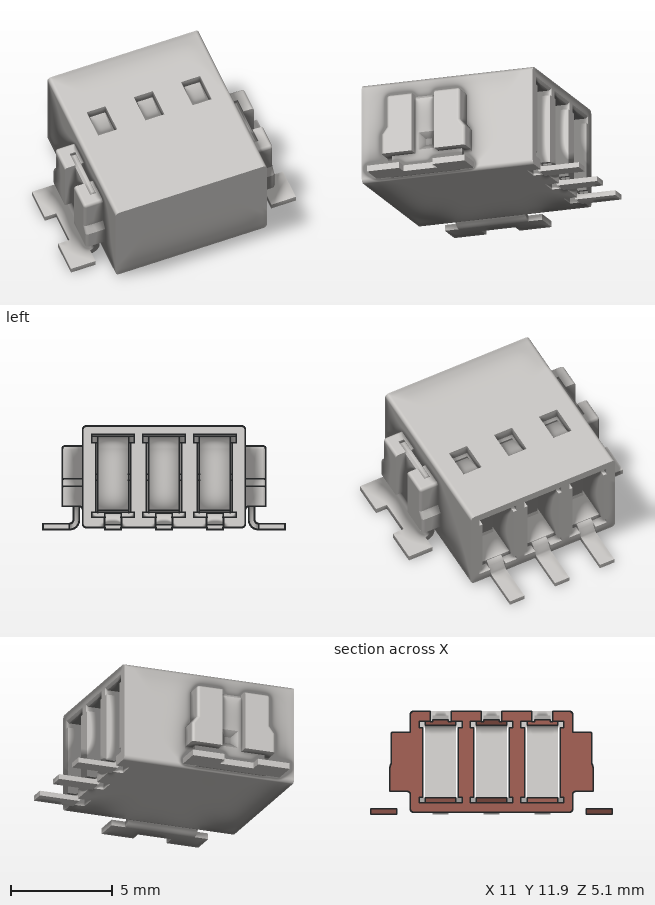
import cadquery as cq
import math


HOUSING_LENGTH = 9.0
HOUSING_WIDTH = 8.0
HOUSING_BOTTOM = 0.1
HOUSING_TOP = 5.1
HOUSING_ROUND = 0.2

POLE_PITCH = 2.5
POLE_CENTERS = [-POLE_PITCH, 0.0, POLE_PITCH]

CONTACT_THICKNESS = 0.25
PLATE_BOTTOM = 0.6
PLATE_TOP = PLATE_BOTTOM + CONTACT_THICKNESS
PLATE_FRONT = 0.45
PLATE_TAPER_START = 1.2
PLATE_TAPER_END = 1.6
TAIL_LENGTH = 2.0
TAIL_WIDTH = 0.8
TAIL_BEND_X = -0.12
TAIL_RISE_ANGLE = math.radians(54)
TAIL_ROUND = 0.5
TAIL_FILLET = 0.15
TAIL_CLEARANCE = 0.03

CAVITY_DEPTH = 4.0
CAVITY_WIDTH = 1.72
SLOT_WIDTH = 2.08
CEILING = 4.58
UPPER_SLOT_BOTTOM = 4.28
MOUTH_HEIGHT = 0.1
MOUTH_LENGTH = 0.13
LEDGE_TOP = 2.72
LEDGE_DEPTH = 0.28

WINDOW_FRONT = 2.67
WINDOW_BACK = 4.2
WINDOW_WIDTH = 1.0

SPRING_FRONT = 2.0
SPRING_WIDTH = 1.52
SPRING_THICKNESS = 0.2
SPRING_BEND = 0.6
SPRING_FOOT = 0.1
TAB_WIDTH = 0.8
TAB_APEX_X = 2.85
TAB_APEX_Z = 4.88
TAB_FRONT_ANGLE = math.radians(60)
TAB_RAMP_ANGLE = math.radians(18)
TAB_END = 3.96
WING_SETBACK = 0.4
WING_LENGTH = 0.4
WING_FRONT = SPRING_FRONT + WING_SETBACK
WING_BACK = WING_FRONT + WING_LENGTH
WING_SWEEP = math.radians(45)

HOLDER_X = 5.4
HOLDER_UPPER_HALF = 1.93
HOLDER_LOWER_HALF = 2.2
HOLDER_TOP = 4.12
HOLDER_NECK_TOP = 2.5
HOLDER_NECK_BOTTOM = 2.14
HOLDER_BOTTOM = 1.14
HOLDER_DEPTH = 1.0
HOLDER_ROUND = 0.15
HOLDER_GAP = 1.2

ANCHOR_THICKNESS = 0.3
ANCHOR_OFFSET = 0.15
ANCHOR_BLADE_WIDTH = 2.72
ANCHOR_LEG_WIDTH = 3.68
ANCHOR_TOP = 4.08
ANCHOR_BEVEL = 0.13
ANCHOR_BEND = 0.2
FOOT_WIDTH = 5.12
FOOT_END = 5.95
FOOT_NOTCH_WIDTH = 1.76
FOOT_NOTCH_DEPTH = 0.6
DIMPLE_Z = 1.76
DIMPLE_MOUTH = 0.88
DIMPLE_FLOOR = 0.32
DIMPLE_DEPTH = (DIMPLE_MOUTH - DIMPLE_FLOOR) / 2

SIDE_WALL = HOUSING_WIDTH / 2
ANCHOR_INNER = SIDE_WALL + ANCHOR_OFFSET
ANCHOR_OUTER = ANCHOR_INNER + ANCHOR_THICKNESS
BEND_END = ANCHOR_OUTER + ANCHOR_BEND


def box(x_range, y_range, z_range):
    """Axis-aligned box from its limits."""
    sizes = [high - low for low, high in (x_range, y_range, z_range)]
    corner = (x_range[0], y_range[0], z_range[0])
    return cq.Workplane("XY").box(*sizes, centered=False).translate(corner)


def centered_box(x_range, center_y, width, z_range):
    """Box that spans a width in Y about a center."""
    return box(x_range, (center_y - width / 2, center_y + width / 2), z_range)


def across_y(profile, center_y, width):
    """Extrude an XZ profile over a width in Y about a center."""
    return profile.extrude(width / 2, both=True).translate((0, center_y, 0))


def mirror_side(body):
    """The same shape on the opposite (+Y) side."""
    return body.mirror("XZ")


def make_contact(center_y):
    slope = math.tan(TAIL_RISE_ANGLE)
    half_turn = math.tan(TAIL_RISE_ANGLE / 2)
    corner_shift = CONTACT_THICKNESS * half_turn
    top_corner_x = TAIL_BEND_X + TAIL_FILLET * half_turn
    rise_length = PLATE_BOTTOM / slope
    tail_profile = (
        cq.Workplane("XZ")
        .moveTo(-TAIL_LENGTH, 0)
        .lineTo(top_corner_x + corner_shift, 0)
        .lineTo(top_corner_x + corner_shift + rise_length, PLATE_BOTTOM)
        .lineTo(PLATE_TAPER_START, PLATE_BOTTOM)
        .lineTo(PLATE_TAPER_START, PLATE_TOP)
        .lineTo(top_corner_x + rise_length, PLATE_TOP)
        .lineTo(top_corner_x, CONTACT_THICKNESS)
        .lineTo(-TAIL_LENGTH, CONTACT_THICKNESS)
        .close()
    )
    tail = across_y(tail_profile, 0, TAIL_WIDTH)
    outer_bend = cq.selectors.NearestToPointSelector((top_corner_x + rise_length, 0, PLATE_TOP))
    inner_bend = cq.selectors.NearestToPointSelector((top_corner_x, 0, CONTACT_THICKNESS))
    tail = tail.edges(outer_bend).fillet(TAIL_ROUND)
    tail = tail.edges(inner_bend).fillet(TAIL_FILLET)
    wide = SLOT_WIDTH / 2
    narrow = SPRING_WIDTH / 2
    plate = (
        cq.Workplane("XY", origin=(0, 0, PLATE_BOTTOM))
        .moveTo(PLATE_FRONT, -wide)
        .lineTo(PLATE_TAPER_START, -wide)
        .lineTo(PLATE_TAPER_END, -narrow)
        .lineTo(CAVITY_DEPTH, -narrow)
        .lineTo(CAVITY_DEPTH, narrow)
        .lineTo(PLATE_TAPER_END, narrow)
        .lineTo(PLATE_TAPER_START, wide)
        .lineTo(PLATE_FRONT, wide)
        .close()
        .extrude(CONTACT_THICKNESS)
    )
    return tail.union(plate).translate((0, center_y, 0))


def spring_sheet():
    """Upright sheet with a flared foot, bent back to run under the ceiling."""
    bend_x = SPRING_FRONT + SPRING_BEND
    bend_z = CEILING - SPRING_BEND
    inner_bend = SPRING_BEND - SPRING_THICKNESS
    diagonal = math.sqrt(0.5)
    profile = (
        cq.Workplane("XZ")
        .moveTo(SPRING_FRONT - SPRING_FOOT, PLATE_TOP)
        .lineTo(SPRING_FRONT, PLATE_TOP + SPRING_FOOT)
        .lineTo(SPRING_FRONT, bend_z)
        .threePointArc(
            (bend_x - SPRING_BEND * diagonal, bend_z + SPRING_BEND * diagonal),
            (bend_x, CEILING),
        )
        .lineTo(CAVITY_DEPTH, CEILING)
        .lineTo(CAVITY_DEPTH, CEILING - SPRING_THICKNESS)
        .lineTo(bend_x, CEILING - SPRING_THICKNESS)
        .threePointArc(
            (bend_x - inner_bend * diagonal, bend_z + inner_bend * diagonal),
            (bend_x - inner_bend, bend_z),
        )
        .lineTo(SPRING_FRONT + SPRING_THICKNESS, PLATE_TOP)
        .close()
    )
    return across_y(profile, 0, SPRING_WIDTH)


def spring_tab():
    """Release tab: a steep front and a long ramp falling away from the apex."""
    start_x = TAB_APEX_X - (TAB_APEX_Z - CEILING) / math.tan(TAB_FRONT_ANGLE)
    end_z = TAB_APEX_Z - (TAB_END - TAB_APEX_X) * math.tan(TAB_RAMP_ANGLE)
    profile = (
        cq.Workplane("XZ")
        .moveTo(start_x, CEILING - SPRING_THICKNESS)
        .lineTo(start_x, CEILING)
        .lineTo(TAB_APEX_X, TAB_APEX_Z)
        .lineTo(TAB_END, end_z)
        .lineTo(TAB_END, CEILING - SPRING_THICKNESS)
        .close()
    )
    opening = centered_box((start_x, CAVITY_DEPTH), 0, TAB_WIDTH, (CEILING - SPRING_THICKNESS, CEILING))
    return across_y(profile, 0, TAB_WIDTH), opening


def spring_wing():
    """Side wing in the upper slot, its front sweeping back in a concave curve."""
    inner_y = SPRING_WIDTH / 2
    outer_y = SLOT_WIDTH / 2
    radius = (outer_y - inner_y) / math.sin(WING_SWEEP)
    center_x = WING_FRONT - radius * math.cos(WING_SWEEP)
    mid_angle = WING_SWEEP / 2
    return (
        cq.Workplane("XY", origin=(0, 0, UPPER_SLOT_BOTTOM))
        .moveTo(WING_FRONT, inner_y)
        .threePointArc(
            (center_x + radius * math.cos(mid_angle), outer_y - radius * math.sin(mid_angle)),
            (center_x + radius, outer_y),
        )
        .lineTo(WING_BACK, outer_y)
        .lineTo(WING_BACK, inner_y)
        .close()
        .extrude(CEILING - UPPER_SLOT_BOTTOM)
    )


def make_spring(center_y):
    tab, opening = spring_tab()
    wing = spring_wing()
    spring = spring_sheet().cut(opening).union(tab).union(wing).union(mirror_side(wing))
    return spring.translate((0, center_y, 0))


def anchor_foot():
    """Sheet bent from the upright leg out to the notched foot (on the -Y side)."""
    outer_bend = ANCHOR_BEND + ANCHOR_THICKNESS
    diagonal = math.sqrt(0.5)
    leg_profile = (
        cq.Workplane("YZ", origin=(HOLDER_X, 0, 0))
        .moveTo(-ANCHOR_INNER, HOLDER_BOTTOM)
        .lineTo(-ANCHOR_INNER, outer_bend)
        .threePointArc(
            (-BEND_END + outer_bend * diagonal, outer_bend - outer_bend * diagonal),
            (-BEND_END, 0),
        )
        .lineTo(-BEND_END, ANCHOR_THICKNESS)
        .threePointArc(
            (-BEND_END + ANCHOR_BEND * diagonal, outer_bend - ANCHOR_BEND * diagonal),
            (-ANCHOR_OUTER, outer_bend),
        )
        .lineTo(-ANCHOR_OUTER, HOLDER_BOTTOM)
        .close()
    )
    leg = leg_profile.extrude(ANCHOR_LEG_WIDTH / 2, both=True)
    half_foot = FOOT_WIDTH / 2
    half_notch = FOOT_NOTCH_WIDTH / 2
    thickness = (0, ANCHOR_THICKNESS)
    foot = box((HOLDER_X - half_foot, HOLDER_X + half_foot), (-FOOT_END, -BEND_END), thickness)
    notch = box(
        (HOLDER_X - half_notch, HOLDER_X + half_notch),
        (-FOOT_END, -FOOT_END + FOOT_NOTCH_DEPTH),
        thickness,
    )
    return leg.union(foot.cut(notch))


def square_taper(wall_y, mouth, depth):
    """Square pyramid stub with 45 degree sides, growing from a plane in Y toward the housing."""
    plane = cq.Plane(origin=(HOLDER_X, wall_y, DIMPLE_Z), xDir=(1, 0, 0), normal=(0, 1, 0))
    return cq.Workplane(plane).rect(mouth, mouth).extrude(depth, taper=45)


def make_anchor():
    half_blade = ANCHOR_BLADE_WIDTH / 2
    blade = box(
        (HOLDER_X - half_blade, HOLDER_X + half_blade),
        (-ANCHOR_OUTER, -ANCHOR_INNER),
        (HOLDER_BOTTOM, ANCHOR_TOP),
    )
    blade = blade.edges("(>Z and <Y) or (>Z and <X) or (>Z and >X)").chamfer(ANCHOR_BEVEL)
    anchor = blade.union(anchor_foot())
    anchor = anchor.union(square_taper(-ANCHOR_INNER, DIMPLE_MOUTH, ANCHOR_OFFSET))
    return anchor.cut(square_taper(-ANCHOR_OUTER, DIMPLE_MOUTH, DIMPLE_DEPTH))


def make_holder():
    """Pair of posts on the -Y side wall that grip the anchor blade."""
    right_side = [
        (HOLDER_LOWER_HALF, HOLDER_BOTTOM),
        (HOLDER_LOWER_HALF, HOLDER_NECK_BOTTOM),
        (HOLDER_UPPER_HALF, HOLDER_NECK_TOP),
        (HOLDER_UPPER_HALF, HOLDER_TOP),
    ]
    left_side = [(-x, z) for x, z in reversed(right_side)]
    block = (
        cq.Workplane("XZ", origin=(HOLDER_X, -SIDE_WALL, 0))
        .polyline(right_side + left_side)
        .close()
        .extrude(HOLDER_DEPTH)
    )
    block = block.edges("(<Y and (not <Z)) or (>Z and (not >Y))").fillet(HOLDER_ROUND)
    diagonal = 1 - math.sqrt(0.5)
    root = (
        cq.Workplane("YZ", origin=(HOLDER_X, 0, 0))
        .moveTo(-SIDE_WALL, HOLDER_BOTTOM)
        .lineTo(-SIDE_WALL - HOLDER_ROUND, HOLDER_BOTTOM)
        .threePointArc(
            (-SIDE_WALL - HOLDER_ROUND * diagonal, HOLDER_BOTTOM - HOLDER_ROUND * diagonal),
            (-SIDE_WALL, HOLDER_BOTTOM - HOLDER_ROUND),
        )
        .close()
        .extrude(HOLDER_LOWER_HALF, both=True)
    )
    depth_range = (-SIDE_WALL - HOLDER_DEPTH, -SIDE_WALL)
    height_range = (HOLDER_BOTTOM - HOLDER_ROUND, HOLDER_TOP)
    gap = box((HOLDER_X - HOLDER_GAP / 2, HOLDER_X + HOLDER_GAP / 2), depth_range, height_range)
    half_blade = ANCHOR_BLADE_WIDTH / 2
    blade_slot = box(
        (HOLDER_X - half_blade, HOLDER_X + half_blade), (-ANCHOR_OUTER, -ANCHOR_INNER), height_range
    )
    return block.union(root).cut(gap).cut(blade_slot)


def make_cavity(center_y):
    """Everything removed from the housing for one pole."""
    depth = (0, CAVITY_DEPTH)
    cavity = centered_box(depth, center_y, CAVITY_WIDTH, (PLATE_TOP, CEILING))
    ledge_profile = (
        cq.Workplane("XZ")
        .moveTo(CAVITY_DEPTH, LEDGE_TOP)
        .lineTo(CAVITY_DEPTH - LEDGE_DEPTH, LEDGE_TOP - LEDGE_DEPTH)
        .lineTo(CAVITY_DEPTH - LEDGE_DEPTH, PLATE_TOP)
        .lineTo(CAVITY_DEPTH, PLATE_TOP)
        .close()
    )
    cavity = cavity.cut(across_y(ledge_profile, center_y, CAVITY_WIDTH))
    upper_slot = centered_box(depth, center_y, SLOT_WIDTH, (UPPER_SLOT_BOTTOM, CEILING))
    mouth_profile = (
        cq.Workplane("XZ")
        .moveTo(0, CEILING)
        .lineTo(0, CEILING + MOUTH_HEIGHT)
        .lineTo(MOUTH_LENGTH, CEILING)
        .close()
    )
    mouth = across_y(mouth_profile, center_y, SLOT_WIDTH)
    lower_slot = centered_box(depth, center_y, SLOT_WIDTH, (PLATE_BOTTOM, PLATE_TOP))
    tail_notch = centered_box(
        (0, PLATE_FRONT + CONTACT_THICKNESS),
        center_y,
        TAIL_WIDTH + 2 * TAIL_CLEARANCE,
        (0, PLATE_BOTTOM),
    )
    window = centered_box((WINDOW_FRONT, WINDOW_BACK), center_y, WINDOW_WIDTH, (CEILING, HOUSING_TOP))
    return cavity.union(upper_slot).union(mouth).union(lower_slot).union(tail_notch).union(window)


def make_housing():
    housing = centered_box((0, HOUSING_LENGTH), 0, HOUSING_WIDTH, (HOUSING_BOTTOM, HOUSING_TOP))
    housing = housing.edges("|X").fillet(HOUSING_ROUND)
    for center_y in POLE_CENTERS:
        housing = housing.cut(make_cavity(center_y))
    holder = make_holder()
    return housing.union(holder).union(mirror_side(holder))


housing = make_housing()
contacts = [make_contact(center_y) for center_y in POLE_CENTERS]
springs = [make_spring(center_y) for center_y in POLE_CENTERS]
front_anchor = make_anchor()
anchors = [front_anchor, mirror_side(front_anchor)]

bodies = [housing, *contacts, *springs, *anchors]
result = cq.Compound.makeCompound([body.solids().val() for body in bodies])